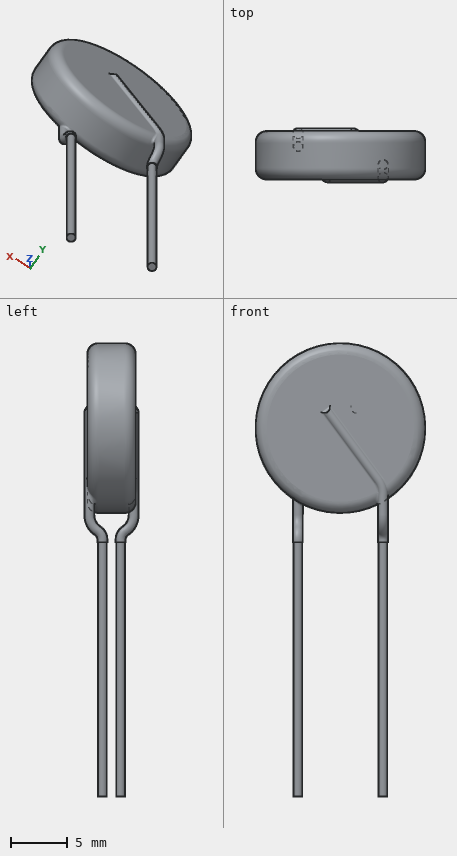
import cadquery as cq
import math

overall_height = 40.0
disc_diameter = 15.0
disc_thickness = 4.3
rim_radius = 1.0
disc_radius = disc_diameter / 2
disc_center_z = overall_height - disc_radius
front_face_y = -disc_thickness / 2

lead_pitch = 7.5
wire_diameter = 0.8
coating_diameter = 0.9
overall_depth = 4.8
lead_x = lead_pitch / 2
upper_lead_y = -(overall_depth - coating_diameter) / 2
lower_lead_y = -0.8
coating_bottom_z = 22.45

kink_bottom_z = 22.65
kink_top_z = 24.8
lower_arc_share = 0.37

slant_angle = math.radians(36.5)
slant_bend_radius = 2.1
slant_bend_start_z = 26.65
slant_length = 7.75

tip_overrun = 0.3

blend_radius = 0.2
touch_tolerance = 1e-4


def make_disc():
    disc = (
        cq.Workplane("XZ", origin=(0, disc_thickness / 2, disc_center_z))
        .circle(disc_radius)
        .extrude(disc_thickness)
    )
    return disc.faces("|Y").edges().fillet(rim_radius)


def make_coated_stretch():
    """Coated stretch of the front lead, swept from its lower end to its beveled tip."""
    up = cq.Vector(0, 0, 1)
    outward = cq.Vector(0, -1, 0)
    slant_direction = cq.Vector(-math.sin(slant_angle), 0, math.cos(slant_angle))

    start = cq.Vector(lead_x, lower_lead_y, coating_bottom_z)
    kink_bottom = cq.Vector(lead_x, lower_lead_y, kink_bottom_z)
    kink_top = cq.Vector(lead_x, upper_lead_y, kink_top_z)
    kink_middle = kink_bottom + (kink_top - kink_bottom) * lower_arc_share
    bend_start = cq.Vector(lead_x, upper_lead_y, slant_bend_start_z)
    slant_start = bend_start + cq.Vector(
        -slant_bend_radius * (1 - math.cos(slant_angle)),
        0,
        slant_bend_radius * math.sin(slant_angle),
    )
    path_end = slant_start + slant_direction * (slant_length + tip_overrun)

    lower_arc = cq.Edge.makeTangentArc(kink_bottom, up, kink_middle)
    upper_arc = cq.Edge.makeTangentArc(kink_middle, lower_arc.tangentAt(1), kink_top)
    path = cq.Wire.assembleEdges([
        cq.Edge.makeLine(start, kink_bottom),
        lower_arc,
        upper_arc,
        cq.Edge.makeLine(kink_top, bend_start),
        cq.Edge.makeTangentArc(bend_start, up, slant_start),
        cq.Edge.makeLine(slant_start, path_end),
    ])
    coating = (
        cq.Workplane("XY", origin=start.toTuple())
        .circle(coating_diameter / 2)
        .sweep(cq.Workplane(path))
    )

    slant_end = slant_start + slant_direction * slant_length
    bevel_plane = cq.Plane(
        origin=(slant_end.x, front_face_y, slant_end.z),
        xDir=slant_direction - outward,
        normal=slant_direction + outward,
    )
    cutter_size = 3 * coating_diameter
    tip_cutter = cq.Workplane(bevel_plane).rect(cutter_size, cutter_size).extrude(coating_diameter)
    return coating.cut(tip_cutter)


def make_bare_wire():
    return (
        cq.Workplane("XY", origin=(lead_x, lower_lead_y, 0))
        .circle(wire_diameter / 2)
        .extrude(coating_bottom_z)
    )


def turn_to_back(shape):
    return shape.rotate((0, 0, 0), (0, 0, 1), 180)


def join_coating(body, coating):
    """Fuse a coated stretch to the body and round every edge where their surfaces meet."""
    skins = body.shells().vals() + coating.shells().vals()

    def is_junction(edge):
        middle = cq.Vertex.makeVertex(*edge.positionAt(0.5).toTuple())
        return all(middle.distance(skin) < touch_tolerance for skin in skins)

    joined = body.union(coating)
    junction_edges = [edge for edge in joined.edges().vals() if is_junction(edge)]
    return joined.newObject(junction_edges).fillet(blend_radius)


front_coating = make_coated_stretch()
front_wire = make_bare_wire()

result = join_coating(make_disc(), front_coating)
result = join_coating(result, turn_to_back(front_coating))
result = result.union(front_wire).union(turn_to_back(front_wire))